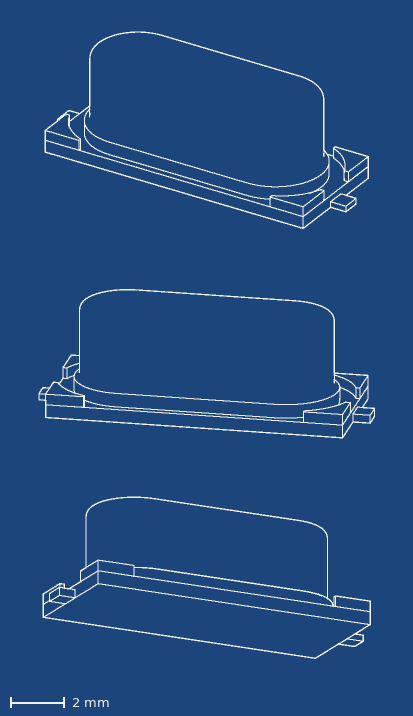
import cadquery as cq

TOTAL_LENGTH = 12.6

BASE_LENGTH = 11.28
BASE_WIDTH = 4.6
BASE_HEIGHT = 0.5

TOTAL_HEIGHT = 3.9
FOOT_LENGTH = 10.0
FOOT_WIDTH = 4.0
FOOT_HEIGHT = 0.53
FOOT_LEDGE = 0.2
CAN_LENGTH = FOOT_LENGTH - 2 * FOOT_LEDGE
CAN_WIDTH = FOOT_WIDTH - 2 * FOOT_LEDGE
CAN_TOP_FILLET = 0.26
FLARE_RIM = 0.006
FLARE_RADIUS = FOOT_LEDGE - FLARE_RIM

PAD_HEIGHT = 0.42
LEFT_PAD_LENGTH = 1.49
RIGHT_PAD_LENGTH = 1.45
FRONT_PAD_WIDTH = 1.49
BACK_PAD_WIDTH = 1.41
CLEARANCE_RADIUS = 2.35
CLEARANCE_CENTER_X = 3.28

LEFT_LEAD_LENGTH = 0.65
LEFT_LEAD_HEIGHT = 0.32
LEFT_LEAD_FRONT_Y = -0.38
LEFT_LEAD_BACK_Y = 0.44
RIGHT_LEAD_LENGTH = TOTAL_LENGTH - BASE_LENGTH - LEFT_LEAD_LENGTH
RIGHT_LEAD_HEIGHT = 0.24
RIGHT_LEAD_FRONT_Y = -0.37
RIGHT_LEAD_BACK_Y = 0.37


def make_base():
    return cq.Workplane("XY").box(BASE_LENGTH, BASE_WIDTH, BASE_HEIGHT, centered=(True, True, False))


def stadium_prism(length, width, bottom_z, top_z):
    """Upright prism whose outline is a rectangle with full-round ends."""
    return cq.Workplane("XY").workplane(offset=bottom_z).slot2D(length, width).extrude(top_z - bottom_z)


def make_can():
    foot_top_z = BASE_HEIGHT + FOOT_HEIGHT
    foot = stadium_prism(FOOT_LENGTH, FOOT_WIDTH, BASE_HEIGHT, foot_top_z)
    wall = stadium_prism(CAN_LENGTH, CAN_WIDTH, foot_top_z, TOTAL_HEIGHT)
    can = foot.union(wall).faces(">Z").edges().fillet(CAN_TOP_FILLET)
    ledge = can.faces("|Z").faces(">Z[-2]").val()
    wall_outline = ledge.innerWires()[0]
    return can.newObject([can.val().fillet(FLARE_RADIUS, wall_outline.Edges())])


def make_pad(x_side, y_side, length, width):
    """Corner pad; x_side and y_side are -1 or +1 and pick the corner."""
    block = (
        cq.Workplane("XY")
        .workplane(offset=BASE_HEIGHT)
        .center(x_side * (BASE_LENGTH - length) / 2, y_side * (BASE_WIDTH - width) / 2)
        .rect(length, width)
        .extrude(PAD_HEIGHT)
    )
    clearance = (
        cq.Workplane("XY")
        .workplane(offset=BASE_HEIGHT)
        .center(x_side * CLEARANCE_CENTER_X, 0)
        .circle(CLEARANCE_RADIUS)
        .extrude(PAD_HEIGHT)
    )
    return block.cut(clearance)


def make_lead(x_side, length, height, front_y, back_y):
    """Flat lead whose inner end meets the end face of the base plate."""
    return (
        cq.Workplane("XY")
        .center(x_side * (BASE_LENGTH + length) / 2, (front_y + back_y) / 2)
        .rect(length, back_y - front_y)
        .extrude(height)
    )


base = make_base()
can = make_can()
pads = [
    make_pad(x_side, y_side, length, width)
    for x_side, length in ((-1, LEFT_PAD_LENGTH), (1, RIGHT_PAD_LENGTH))
    for y_side, width in ((-1, FRONT_PAD_WIDTH), (1, BACK_PAD_WIDTH))
]
left_lead = make_lead(-1, LEFT_LEAD_LENGTH, LEFT_LEAD_HEIGHT, LEFT_LEAD_FRONT_Y, LEFT_LEAD_BACK_Y)
right_lead = make_lead(1, RIGHT_LEAD_LENGTH, RIGHT_LEAD_HEIGHT, RIGHT_LEAD_FRONT_Y, RIGHT_LEAD_BACK_Y)

result = cq.Compound.makeCompound(
    [base.val(), can.val(), *[pad.val() for pad in pads], left_lead.val(), right_lead.val()]
)